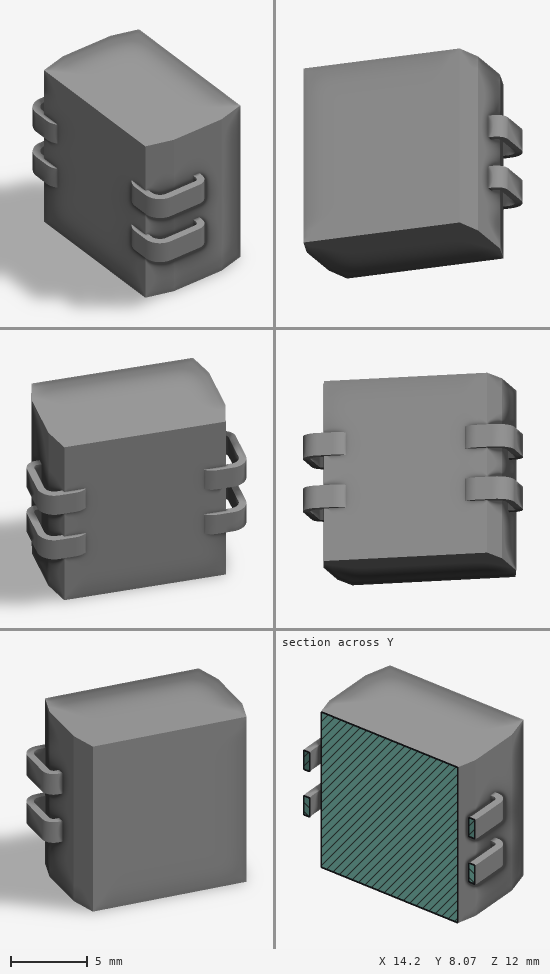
import cadquery as cq
import math

overall_width = 14.15
overall_depth = 8.07
housing_width = 12.0
housing_height = 12.0
standoff = 0.3
bevel_width = 0.52
bevel_depth = 1.94

lead_thickness = 0.5
lead_width = 1.5
lead_depth = 4.32
lead_pitch = 3.5
foot_bend_radius = 1.16
arm_bend_radius = 0.79
foot_flat_end = 2.3

outer_x = -overall_width / 2
side_x = -housing_width / 2
foot_flat_end_x = outer_x + foot_flat_end
foot_bend_x = outer_x + foot_bend_radius
inner_x = outer_x + lead_thickness
arm_inner_y = lead_depth - lead_thickness
foot_inner_radius = foot_bend_radius - lead_thickness
arm_inner_radius = arm_bend_radius - lead_thickness


def make_housing_block():
    """Rectangular block with a long bevel along each of its four upright edges."""
    depth = overall_depth - standoff
    half_width = housing_width / 2
    face_half_width = half_width - bevel_width
    half_depth = depth / 2
    side_half_depth = half_depth - bevel_depth
    outline = [
        (-face_half_width, -half_depth),
        (face_half_width, -half_depth),
        (half_width, -side_half_depth),
        (half_width, side_half_depth),
        (face_half_width, half_depth),
        (-face_half_width, half_depth),
        (-half_width, side_half_depth),
        (-half_width, -side_half_depth),
    ]
    return (
        cq.Workplane("XY")
        .polyline(outline)
        .close()
        .extrude(housing_height / 2, both=True)
        .translate((0, standoff + half_depth, 0))
    )


def make_lead():
    """Bent strip on the -X side, with its foot tip rounded up to the inner face."""
    tip_angle = math.acos(1 - lead_thickness / foot_bend_radius)
    tip_x = foot_flat_end_x + foot_bend_radius * math.sin(tip_angle)
    tip_mid = (
        foot_flat_end_x + foot_bend_radius * math.sin(tip_angle / 2),
        foot_bend_radius * (1 - math.cos(tip_angle / 2)),
    )
    return (
        cq.Workplane("XY")
        .moveTo(side_x, lead_depth)
        .lineTo(outer_x + arm_bend_radius, lead_depth)
        .radiusArc((outer_x, lead_depth - arm_bend_radius), -arm_bend_radius)
        .lineTo(outer_x, foot_bend_radius)
        .radiusArc((foot_bend_x, 0), -foot_bend_radius)
        .lineTo(foot_flat_end_x, 0)
        .threePointArc(tip_mid, (tip_x, lead_thickness))
        .lineTo(foot_bend_x, lead_thickness)
        .radiusArc((inner_x, foot_bend_radius), foot_inner_radius)
        .lineTo(inner_x, lead_depth - arm_bend_radius)
        .radiusArc((inner_x + arm_inner_radius, arm_inner_y), arm_inner_radius)
        .lineTo(side_x, arm_inner_y)
        .close()
        .extrude(lead_width / 2, both=True)
    )


left_lead = make_lead()
right_lead = left_lead.mirror("YZ")
leads = []
for lead in (left_lead, right_lead):
    for z in (-lead_pitch / 2, lead_pitch / 2):
        leads.append(lead.translate((0, 0, z)))

housing = make_housing_block()
for lead in leads:
    housing = housing.cut(lead)

result = cq.Compound.makeCompound([housing.val(), *[lead.val() for lead in leads]])